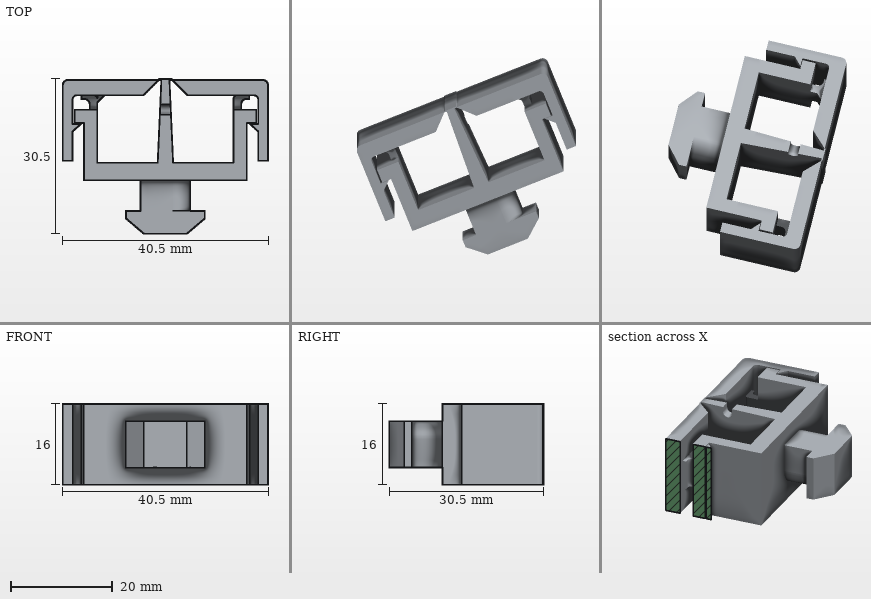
import cadquery as cq

width = 40.5
height = 16.0
mid_z = height / 2
half_width = width / 2

floor_top = 3.5
wall_outer_x = 16.05
wall_inner_x = 13.4
shoulder_outer_x = 17.9
shoulder_bottom_y = 11.25
shoulder_top_y = 13.95
rib_base_half = 1.55
rib_tip_half = 0.8
notch_center_y = 13.97
notch_radius = 1.0
notch_center_depth = 1.0

cap_inner_y = 16.73
cap_outer_y = 19.8
leg_end_y = 3.8
leg_inner_x = 18.25
leaf_tip_half = 4.35
cap_outer_radius = 1.15
cap_inner_radius = 0.8
hinge_outer_y = 19.95
hinge_inner_y = 19.72
hinge_outer_half = 1.2
hinge_inner_half = leaf_tip_half - (hinge_inner_y - cap_inner_y)
snap_tip_x = 16.6
snap_top_y = 11.15
snap_bottom_y = 9.6

arm_height = 6.08
arm_thickness = 1.55
arm_toe_x = 16.55
arm_toe_thickness = 0.73
arm_inner_radius = 1.0
arm_outer_radius = 0.6
catch_size = 1.4

foot_height = 9.15
neck_half_width = 4.95
neck_radius = 3.45
neck_length = 6.05
head_half_width = 7.78
head_lip = 1.5
head_tip_half = 4.25
foot_length = 10.55


def mirrored(solid):
    """Return the solid together with its mirror image across X = 0."""
    return solid.union(solid.mirror("YZ"))


def prism(points, depth=height):
    """Extrude an XY outline along Z, centred on the mid height."""
    outline = cq.Workplane("XY").workplane(offset=mid_z - depth / 2)
    return outline.polyline(points).close().extrude(depth)


def tray():
    half = prism([
        (0, 0),
        (wall_outer_x, 0),
        (wall_outer_x, shoulder_bottom_y),
        (shoulder_outer_x, shoulder_bottom_y),
        (shoulder_outer_x, shoulder_top_y),
        (wall_inner_x, shoulder_top_y),
        (wall_inner_x, floor_top),
        (rib_base_half, floor_top),
        (rib_tip_half, hinge_outer_y),
        (0, hinge_outer_y),
    ])
    notch_center_z = height - notch_center_depth
    notch_profile = (
        cq.Workplane("YZ")
        .workplane(offset=-rib_base_half)
        .moveTo(notch_center_y - notch_radius, height)
        .lineTo(notch_center_y - notch_radius, notch_center_z)
        .threePointArc(
            (notch_center_y, notch_center_z - notch_radius),
            (notch_center_y + notch_radius, notch_center_z),
        )
        .lineTo(notch_center_y + notch_radius, height)
        .close()
    )
    notch = notch_profile.extrude(2 * rib_base_half)
    return mirrored(half).cut(notch)


def cap():
    leaf_top_half = leaf_tip_half - (cap_outer_y - cap_inner_y)
    leaf = prism([
        (leaf_top_half, cap_outer_y),
        (half_width, cap_outer_y),
        (half_width, leg_end_y),
        (leg_inner_x, leg_end_y),
        (leg_inner_x, cap_inner_y),
        (leaf_tip_half, cap_inner_y),
    ])
    leaf = leaf.edges(cq.selectors.NearestToPointSelector((half_width, cap_outer_y, mid_z)))
    leaf = leaf.fillet(cap_outer_radius)
    leaf = leaf.edges(cq.selectors.NearestToPointSelector((leg_inner_x, cap_inner_y, mid_z)))
    leaf = leaf.fillet(cap_inner_radius)
    snap = prism([
        (leg_inner_x, snap_top_y),
        (snap_tip_x, snap_top_y),
        (leg_inner_x, snap_bottom_y),
    ])
    hinge_shoulder_half = hinge_outer_half + hinge_outer_y - cap_outer_y
    hinge = prism([
        (0, hinge_outer_y),
        (hinge_outer_half, hinge_outer_y),
        (hinge_shoulder_half, cap_outer_y),
        (hinge_inner_half, hinge_inner_y),
        (0, hinge_inner_y),
    ])
    return mirrored(leaf.union(snap).union(hinge))


def latch_arm():
    arm_outer_x = wall_inner_x + arm_thickness
    toe_bottom_y = cap_inner_y - arm_toe_thickness
    arm = prism([
        (wall_inner_x, shoulder_top_y),
        (wall_inner_x, cap_inner_y),
        (arm_toe_x, cap_inner_y),
        (arm_toe_x, toe_bottom_y),
        (arm_outer_x, toe_bottom_y),
        (arm_outer_x, shoulder_top_y),
    ], arm_height)
    arm = arm.edges(cq.selectors.NearestToPointSelector((wall_inner_x, cap_inner_y, mid_z)))
    arm = arm.fillet(arm_outer_radius)
    arm = arm.edges(cq.selectors.NearestToPointSelector((arm_outer_x, toe_bottom_y, mid_z)))
    return arm.fillet(arm_inner_radius)


def catch():
    return prism([
        (-wall_inner_x, cap_inner_y),
        (-wall_inner_x + catch_size, cap_inner_y),
        (-wall_inner_x, cap_inner_y - catch_size),
    ], arm_height)


def foot():
    neck = (
        cq.Workplane("XY")
        .box(2 * neck_half_width, neck_length, foot_height)
        .translate((0, -neck_length / 2, mid_z))
    )
    neck = neck.edges("|Y").edges(">(1, 0, 1) or <(1, 0, 1)").fillet(neck_radius)
    lip_y = -neck_length - head_lip
    head = prism([
        (-head_half_width, -neck_length),
        (head_half_width, -neck_length),
        (head_half_width, lip_y),
        (head_tip_half, -foot_length),
        (-head_tip_half, -foot_length),
        (-head_half_width, lip_y),
    ], foot_height)
    return neck.union(head)


result = tray().union(cap()).union(mirrored(latch_arm())).union(catch()).union(foot())